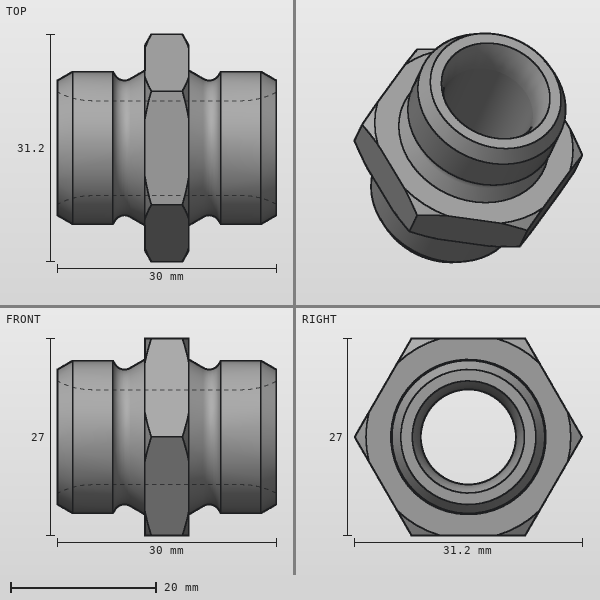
import cadquery as cq
import math

length = 30.0
corner_width = 31.18
hex_thickness = 6.05
hex_face_diameter = 28.05
hex_chamfer_angle = math.radians(30)

end_diameter = 20.95
end_chamfer_length = 2.12
end_chamfer_angle = math.radians(30)

groove_center_x = 5.8
groove_bottom_radius = 9.25
groove_arc_radius = 1.53
inner_flank_angle = math.radians(30)
outer_flank_angle = math.radians(60)

bore_diameter = 13.0
mouth_diameter = 15.37
mouth_arc_radius = 10.0

half_length = length / 2
half_hex = hex_thickness / 2
end_radius = end_diameter / 2
bore_radius = bore_diameter / 2
mouth_radius = mouth_diameter / 2


def groove_point(angle):
    """Point on the groove arc; the angle is measured from its bottom, outward positive."""
    x = groove_center_x + groove_arc_radius * math.sin(angle)
    radius = groove_bottom_radius + groove_arc_radius * (1 - math.cos(angle))
    return x, radius


def make_turned_half():
    """Solid of revolution from the middle plane to the +X end, without the bore."""
    inner_x, inner_radius = groove_point(-inner_flank_angle)
    outer_x, outer_radius = groove_point(outer_flank_angle)
    root_radius = inner_radius + (inner_x - half_hex) * math.tan(inner_flank_angle)
    shoulder_x = outer_x + (end_radius - outer_radius) / math.tan(outer_flank_angle)
    tip_radius = end_radius - end_chamfer_length * math.tan(end_chamfer_angle)
    profile = (
        cq.Workplane("XY")
        .lineTo(0, root_radius)
        .lineTo(half_hex, root_radius)
        .lineTo(inner_x, inner_radius)
        .threePointArc((groove_center_x, groove_bottom_radius), (outer_x, outer_radius))
        .lineTo(shoulder_x, end_radius)
        .lineTo(half_length - end_chamfer_length, end_radius)
        .lineTo(half_length, tip_radius)
        .lineTo(half_length, 0)
        .close()
    )
    return profile.revolve(360, (0, 0, 0), (1, 0, 0))


def make_hexagon():
    """Hexagon with corners on the Y axis, its corners turned down by a cone on each side."""
    hexagon = (
        cq.Workplane("YZ")
        .polygon(6, corner_width)
        .extrude(half_hex, both=True)
    )
    corner_radius = corner_width / 2
    face_radius = hex_face_diameter / 2
    chamfer_depth = (corner_radius - face_radius) * math.tan(hex_chamfer_angle)
    chamfer_x = half_hex - chamfer_depth
    envelope = (
        cq.Workplane("XY")
        .polyline([
            (-half_hex, 0),
            (-half_hex, face_radius),
            (-chamfer_x, corner_radius),
            (chamfer_x, corner_radius),
            (half_hex, face_radius),
            (half_hex, 0),
        ])
        .close()
        .revolve(360, (0, 0, 0), (1, 0, 0))
    )
    return hexagon.intersect(envelope)


def make_bore_half():
    """Bore from the middle plane to the +X end; the mouth arc is tangent to the bore."""
    mouth_angle = math.acos(1 - (mouth_radius - bore_radius) / mouth_arc_radius)
    flare_x = half_length - mouth_arc_radius * math.sin(mouth_angle)
    middle_x = flare_x + mouth_arc_radius * math.sin(mouth_angle / 2)
    middle_radius = bore_radius + mouth_arc_radius * (1 - math.cos(mouth_angle / 2))
    profile = (
        cq.Workplane("XY")
        .lineTo(0, bore_radius)
        .lineTo(flare_x, bore_radius)
        .threePointArc((middle_x, middle_radius), (half_length, mouth_radius))
        .lineTo(half_length, 0)
        .close()
    )
    return profile.revolve(360, (0, 0, 0), (1, 0, 0))


def with_mirror(half):
    """Join a half with its mirror image across the YZ plane."""
    return half.union(half.mirror("YZ"))


body = with_mirror(make_turned_half()).union(make_hexagon())
result = body.cut(with_mirror(make_bore_half()))